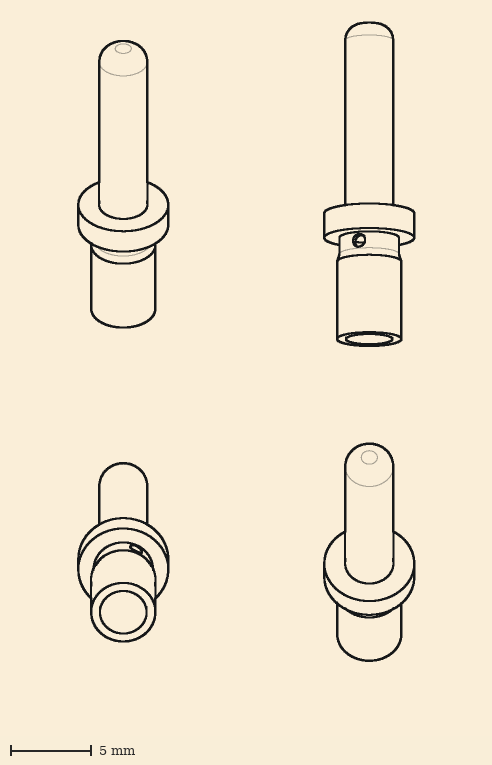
import cadquery as cq

total_length = 20.0
barrel_diameter = 4.0
barrel_length = 4.92
neck_diameter = 3.7
neck_start = 5.4
flange_diameter = 5.6
flange_bottom = 6.45
flange_top = 8.0
pin_diameter = 3.0
tip_radius = 1.0
bore_diameter = 2.9
inspection_diameter = 0.8
inspection_height = 5.9
bore_depth = flange_bottom


def cylinder(diameter, bottom, top):
    """Solid cylinder on the Z axis between two heights."""
    return cq.Workplane("XY").workplane(offset=bottom).circle(diameter / 2).extrude(top - bottom)


pin = cylinder(pin_diameter, flange_top, total_length).faces(">Z").edges().fillet(tip_radius)

flange = cylinder(flange_diameter, flange_bottom, flange_top)
neck = cylinder(neck_diameter, neck_start, flange_bottom)
shoulder = (
    cq.Workplane("XY")
    .workplane(offset=barrel_length)
    .circle(barrel_diameter / 2)
    .workplane(offset=neck_start - barrel_length)
    .circle(neck_diameter / 2)
    .loft(ruled=True)
)
barrel = cylinder(barrel_diameter, 0, barrel_length)
body = barrel.union(shoulder).union(neck).union(flange).union(pin)

wire_bore = cylinder(bore_diameter, 0, bore_depth)

inspection_hole = (
    cq.Workplane("YZ")
    .center(0, inspection_height)
    .circle(inspection_diameter / 2)
    .extrude(-neck_diameter / 2)
)

result = body.cut(wire_bore).cut(inspection_hole)